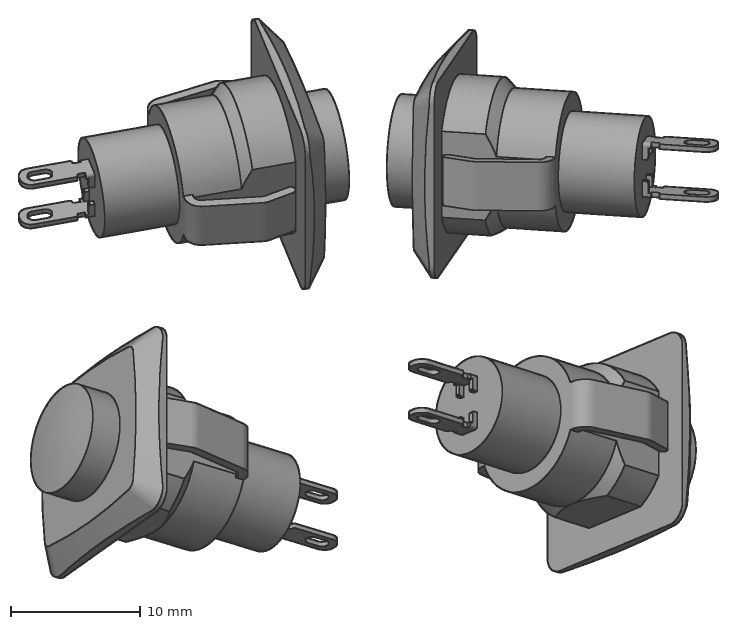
import cadquery as cq
import math


cap_radius = 8.78 / 2
cap_rim_y = 4.52
cap_top_y = 4.9

bezel_width = 15.95
bezel_corner_radius = 1.5
bezel_edge_height = 0.39
bezel_front_y = 2.0
bezel_front_half_width = 6.65
bezel_front_corner = 5.5
side_bulge = 0.39

collar_radius = 6.25
collar_end_y = -3.47
barrel_radius = 5.45
barrel_start_y = -4.35
barrel_end_y = -8.98
body_flat_x = 5.15
stem_radius = 7.88 / 2
stem_end_y = -15.0

clip_width = 3.95
clip_thickness = 0.75
clip_elbow_radius = 1.03
clip_heel_radius = 0.98
clip_tip = (6.55, -0.77)
clip_elbow = (7.1, -2.98)
clip_heel = (6.14, barrel_end_y + clip_thickness / 2)
clip_root = (stem_radius, clip_heel[1])

overall_length = 25.67
terminal_end_y = cap_top_y - overall_length
terminal_width = 1.98
terminal_thickness = 0.4
terminal_outer_z = 2.23
terminal_tip_radius = 0.87
eye_width = 1.05
eye_length = 1.98
eye_center_y = -19.12
neck_width = 1.3
neck_start_y = -15.68
neck_end_y = -16.33
neck_fillet = 0.15
tab_thickness = 0.4
tab_end_y = -15.45
tab_inner_z = 0.87
tab_chamfer = 0.1
tab_bend_radius = 0.25


def make_cap():
    dome_rise = cap_top_y - cap_rim_y
    dome_radius = (cap_radius**2 + dome_rise**2) / (2 * dome_rise)
    return (
        cq.Workplane("XY")
        .lineTo(cap_radius, 0)
        .lineTo(cap_radius, cap_rim_y)
        .radiusArc((0, cap_top_y), -dome_radius)
        .close()
        .revolve(360, (0, 0, 0), (0, 1, 0))
    )


def bowed_square(work, half_width, corner):
    """Square outline with bowed sides and round corners, centred on the axis."""
    side = half_width - side_bulge
    corner_mid = corner + (side - corner) * math.sqrt(0.5)
    work = work.moveTo(-corner, side)
    for quarter in range(4):
        cosine = round(math.cos(quarter * math.pi / 2))
        sine = round(math.sin(quarter * math.pi / 2))
        arc_points = [(0, half_width), (corner, side), (corner_mid, corner_mid), (side, corner)]
        side_mid, side_end, arc_mid, arc_end = [
            (u * cosine + v * sine, v * cosine - u * sine) for u, v in arc_points
        ]
        work = work.threePointArc(side_mid, side_end).threePointArc(arc_mid, arc_end)
    return work.close()


def make_bezel():
    plate = (
        cq.Workplane("XZ")
        .rect(bezel_width, bezel_width)
        .extrude(-bezel_front_y)
        .edges("|Y")
        .fillet(bezel_corner_radius)
    )
    half_width = bezel_width / 2
    base = cq.Workplane("XZ").rect(bezel_width, bezel_width).extrude(-bezel_edge_height)
    slope = cq.Workplane("XZ", origin=(0, bezel_edge_height, 0))
    slope = bowed_square(slope, half_width + side_bulge, half_width - bezel_corner_radius)
    slope = slope.workplane(offset=bezel_edge_height - bezel_front_y)
    slope = bowed_square(slope, bezel_front_half_width, bezel_front_corner).loft(ruled=True)
    return plate.intersect(base.union(slope))


def make_body():
    shell = (
        cq.Workplane("XY")
        .lineTo(collar_radius, 0)
        .lineTo(collar_radius, collar_end_y)
        .lineTo(barrel_radius, barrel_start_y)
        .lineTo(barrel_radius, barrel_end_y)
        .lineTo(0, barrel_end_y)
        .close()
        .revolve(360, (0, 0, 0), (0, 1, 0))
    )
    flats = (
        cq.Workplane("XZ")
        .center(0, (collar_radius - barrel_radius) / 2)
        .rect(2 * body_flat_x, collar_radius + barrel_radius)
        .extrude(-barrel_end_y)
    )
    stem = (
        cq.Workplane("XZ", origin=(0, barrel_end_y, 0))
        .circle(stem_radius)
        .extrude(barrel_end_y - stem_end_y)
    )
    return shell.intersect(flats).union(stem)


def bend(path, start, corner, end, radius):
    """Continue a path with a line toward a corner and a tangent arc round it."""
    apex = cq.Vector(*corner)
    to_start = (cq.Vector(*start) - apex).normalized()
    to_end = (cq.Vector(*end) - apex).normalized()
    half_angle = to_start.getAngle(to_end) / 2
    setback = radius / math.tan(half_angle)
    reach = radius / math.sin(half_angle) - radius
    arc_start = apex + to_start * setback
    arc_mid = apex + (to_start + to_end).normalized() * reach
    arc_end = apex + to_end * setback
    path = path.lineTo(arc_start.x, arc_start.y)
    return path.threePointArc((arc_mid.x, arc_mid.y), (arc_end.x, arc_end.y))


def make_clip():
    path = cq.Workplane("XY", origin=(0, 0, -clip_width / 2)).moveTo(*clip_tip)
    path = bend(path, clip_tip, clip_elbow, clip_heel, clip_elbow_radius)
    path = bend(path, clip_elbow, clip_heel, clip_root, clip_heel_radius)
    path = path.lineTo(*clip_root).wire()
    return path.offset2D(clip_thickness / 2).extrude(clip_width)


def make_terminal():
    length = stem_end_y - terminal_end_y
    bottom_z = terminal_outer_z - terminal_thickness
    half_width = terminal_width / 2
    blade = (
        cq.Workplane("XY", origin=(0, 0, bottom_z))
        .center(0, stem_end_y - length / 2)
        .rect(terminal_width, length)
        .extrude(terminal_thickness)
        .edges("|Z and <Y")
        .fillet(terminal_tip_radius)
    )
    eye = (
        cq.Workplane("XY", origin=(0, eye_center_y, bottom_z))
        .slot2D(eye_length, eye_width, 90)
        .extrude(terminal_thickness)
    )
    blade = blade.cut(eye)
    for side in (-1, 1):
        notch = (
            cq.Workplane("XY", origin=(side * half_width, (neck_start_y + neck_end_y) / 2, bottom_z))
            .rect(terminal_width - neck_width, neck_start_y - neck_end_y)
            .extrude(terminal_thickness)
        )
        blade = blade.cut(notch)
    neck_corners = cq.selectors.BoxSelector(
        (-terminal_width, neck_end_y - neck_fillet, 0),
        (terminal_width, neck_end_y + neck_fillet, terminal_outer_z),
    )
    blade = blade.edges("|Z").edges(neck_corners).fillet(neck_fillet)

    for side in (-1, 1):
        tab = (
            cq.Workplane("XY")
            .box(tab_thickness, stem_end_y - tab_end_y, terminal_outer_z - tab_inner_z)
            .edges("<Y and <Z")
            .chamfer(tab_chamfer)
            .translate((
                side * (half_width - tab_thickness / 2),
                (stem_end_y + tab_end_y) / 2,
                (terminal_outer_z + tab_inner_z) / 2,
            ))
        )
        blade = blade.union(tab)
    bend_edges = cq.selectors.BoxSelector(
        (-terminal_width, neck_start_y, terminal_outer_z - tab_bend_radius),
        (terminal_width, stem_end_y, terminal_outer_z + tab_bend_radius),
    )
    return blade.clean().edges("|Y").edges(bend_edges).edges("<X or >X").fillet(tab_bend_radius)


clip = make_clip()
terminal = make_terminal()

result = make_cap().union(make_bezel()).union(make_body())
result = result.union(clip).union(clip.mirror("YZ"))
result = result.union(terminal).union(terminal.mirror("XY"))